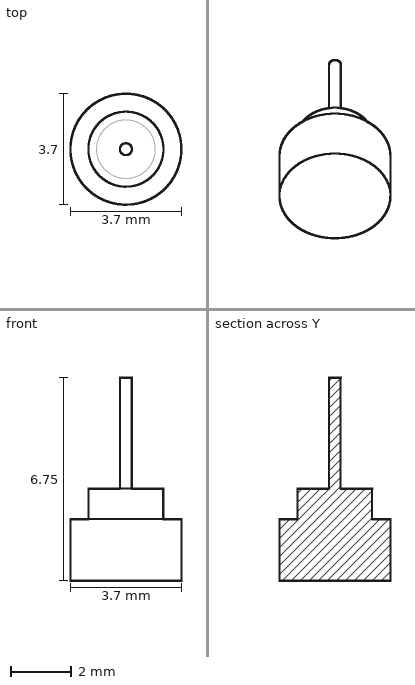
import cadquery as cq

total_height = 6.75
base_diameter = 3.7
base_height = 2.05
collar_diameter = 2.5
collar_height = 1.01
seal_diameter = 1.95
pin_diameter = 0.4

collar_top = base_height + collar_height


def cylinder(diameter, bottom, top):
    """Upright cylinder on the Z axis between two heights."""
    return cq.Workplane("XY").workplane(offset=bottom).circle(diameter / 2).extrude(top - bottom)


base = cylinder(base_diameter, 0, base_height)
collar = cylinder(collar_diameter, base_height, collar_top)
seal = cylinder(seal_diameter, base_height, collar_top)
housing = base.union(collar.cut(seal))

sealed_housing = housing.union(seal, clean=False)

pin = cylinder(pin_diameter, collar_top, total_height)
result = sealed_housing.union(pin, clean=False)